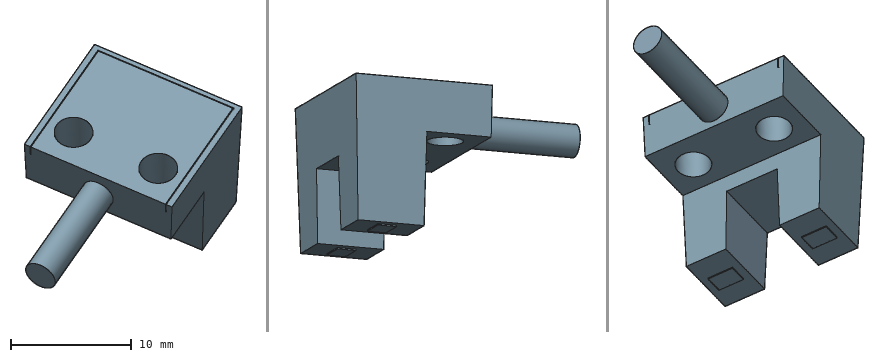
import cadquery as cq
import math

head_width = 13.96
head_depth = 12.15
head_height = 12.4

side_draft = 1.8
back_draft = 1.5
front_draft = 1.0
gap_draft = 1.5

overhang_thickness = 4.4
leg_depth = 6.35
gap_width = 5.0
gap_top = 6.06

cable_diameter = 2.8
overall_depth = 22.13
cable_length = overall_depth - head_depth
cable_drop = 2.4

hole_spacing = 8.0
hole_setback = 3.08
hole_top_diameter = 3.2
hole_draft = 1.0

groove_width = 0.07
groove_depth = 1.0
groove_side_inset = 0.55
groove_back_inset = 0.42

pad_width = 2.43
pad_depth = 1.65
pad_height = 0.1
pad_offset = 4.65
pad_back_inset = 3.2


def lean(height, angle):
    """Sideways shift of a drafted wall over the given height."""
    return height * math.tan(math.radians(angle))


def make_head():
    """Forked front outline crossed with the L-shaped side outline."""
    half_top = head_width / 2
    half_bottom = half_top - lean(head_height, side_draft)
    half_gap_top = gap_width / 2
    half_gap_bottom = half_gap_top + lean(head_height - gap_top, gap_draft)
    fork = (
        cq.Workplane("XZ")
        .polyline([
            (-half_top, 0),
            (half_top, 0),
            (half_bottom, -head_height),
            (half_gap_bottom, -head_height),
            (half_gap_top, -gap_top),
            (-half_gap_top, -gap_top),
            (-half_gap_bottom, -head_height),
            (-half_bottom, -head_height),
        ])
        .close()
        .extrude(-head_depth)
    )

    leg_front = head_depth - leg_depth
    side = (
        cq.Workplane("YZ")
        .polyline([
            (0, 0),
            (head_depth, 0),
            (head_depth - lean(head_height, back_draft), -head_height),
            (leg_front + lean(head_height - overhang_thickness, front_draft), -head_height),
            (leg_front, -overhang_thickness),
            (lean(overhang_thickness, front_draft), -overhang_thickness),
        ])
        .close()
        .extrude(half_top, both=True)
    )
    return fork.intersect(side)


def make_cable():
    """Round bar to the front, rooted inside the head behind the drafted face."""
    root = lean(overhang_thickness, front_draft)
    return (
        cq.Workplane("XZ", origin=(0, root, -cable_drop))
        .circle(cable_diameter / 2)
        .extrude(cable_length + root)
    )


def make_holes():
    """Pair of holes that narrow toward the underside of the overhang."""
    return (
        cq.Workplane("XY")
        .pushPoints([(sign * hole_spacing / 2, hole_setback) for sign in (-1, 1)])
        .circle(hole_top_diameter / 2)
        .extrude(-overhang_thickness, taper=hole_draft)
    )


def lid_block(inset):
    """Block running from the front face to the given distance inside the groove's outer wall."""
    width = head_width - 2 * (groove_side_inset + inset)
    depth = head_depth - groove_back_inset - inset
    return (
        cq.Workplane("XY", origin=(0, depth / 2, 0))
        .rect(width, depth)
        .extrude(-groove_depth)
    )


def make_groove():
    """U-shaped groove left between two nested blocks."""
    return lid_block(0).cut(lid_block(groove_width))


def make_pads():
    """One flat pad under each fork leg."""
    pad_y = head_depth - pad_back_inset
    return (
        cq.Workplane("XY", origin=(0, 0, -head_height))
        .pushPoints([(sign * pad_offset, pad_y) for sign in (-1, 1)])
        .rect(pad_width, pad_depth)
        .extrude(-pad_height)
    )


result = (
    make_head()
    .union(make_cable())
    .union(make_pads())
    .cut(make_holes())
    .cut(make_groove())
)